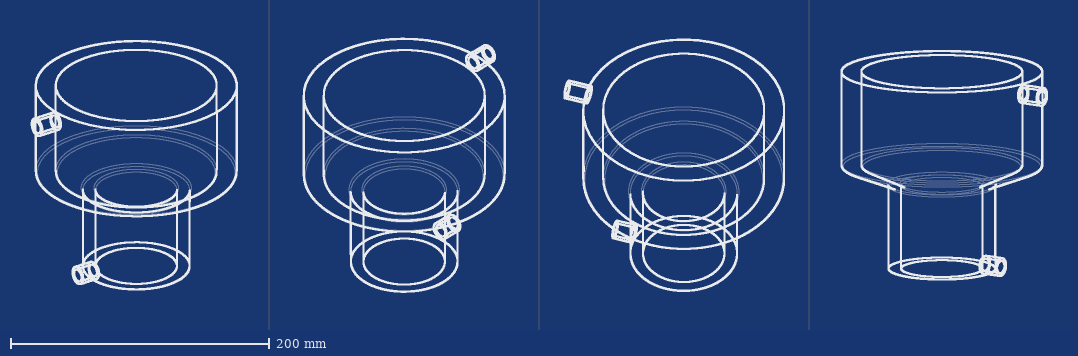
import cadquery as cq

height = 156.0
socket_radius = 156.0 / 2
socket_bore_radius = 62.5
spigot_radius = 41.5
spigot_bore_radius = 31.5

socket_bottom_z = 81.2
spigot_top_z = 66.8
cone_edge_fillet = 2.0

terminal_radius = 14.0 / 2
terminal_bore_radius = 4.9
terminal_end_inset = 8.2
overall_depth = 173.5
socket_terminal_reach = overall_depth - socket_radius
spigot_terminal_reach = 56.2
terminal_root = 3.5


def stepped_solid(lower_radius, upper_radius):
    """Narrow cylinder, cone and wide cylinder, rounded where the cone begins and ends."""
    profile = (
        cq.Workplane("XZ")
        .moveTo(0, 0)
        .lineTo(lower_radius, 0)
        .lineTo(lower_radius, spigot_top_z)
        .lineTo(upper_radius, socket_bottom_z)
        .lineTo(upper_radius, height)
        .lineTo(0, height)
        .close()
    )
    solid = profile.revolve(360, (0, 0, 0), (0, 1, 0))
    cone_edges = cq.selectors.BoxSelector(
        (-upper_radius, -upper_radius, spigot_top_z - cone_edge_fillet),
        (upper_radius, upper_radius, socket_bottom_z + cone_edge_fillet),
    )
    return solid.edges("%CIRCLE").edges(cone_edges).fillet(cone_edge_fillet)


def add_terminal(part, wall_radius, reach, z):
    """Add a tube with a blind bore ending at the wall surface."""
    tip = cq.Workplane("XZ", origin=(0, -reach, z))
    length = reach - wall_radius
    tube = tip.circle(terminal_radius).extrude(-(length + terminal_root))
    tube_bore = tip.circle(terminal_bore_radius).extrude(-length)
    return part.union(tube).cut(tube_bore)


outer_body = stepped_solid(spigot_radius, socket_radius)
bore = stepped_solid(spigot_bore_radius, socket_bore_radius)
result = outer_body.cut(bore)
result = add_terminal(result, socket_radius, socket_terminal_reach, height - terminal_end_inset)
result = add_terminal(result, spigot_radius, spigot_terminal_reach, terminal_end_inset)